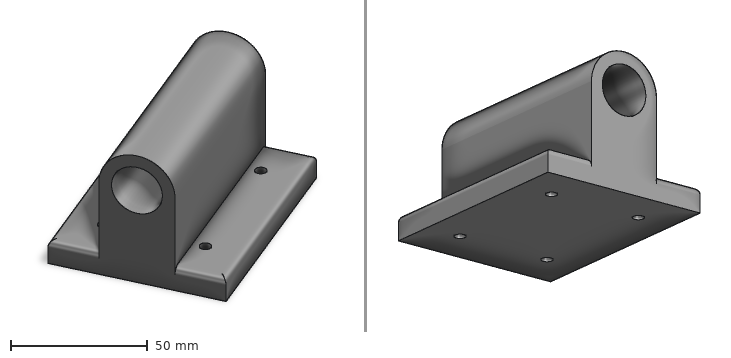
import cadquery as cq

length = 90.0
base_width = 70.0
base_height = 10.0
base_edge_radius = 3.0

overall_height = 55.0
web_width = 30.0
web_radius = web_width / 2
bore_diameter = 20.0
bore_height = overall_height - web_radius

hole_diameter = 4.5
hole_spacing_x = 40.0
hole_spacing_y = 55.0


def make_base():
    """Rectangular plate with rounded top edges and four through holes."""
    plate = cq.Workplane("XY").box(base_width, length, base_height, centered=(True, True, False))
    return (
        plate.faces(">Z").edges().fillet(base_edge_radius)
        .faces(">Z").workplane()
        .rarray(hole_spacing_x, hole_spacing_y, 2, 2)
        .hole(hole_diameter)
    )


def make_web():
    """Full-length upright with a half-round top."""
    return (
        cq.Workplane("XZ")
        .moveTo(-web_radius, 0)
        .lineTo(web_radius, 0)
        .lineTo(web_radius, bore_height)
        .threePointArc((0, overall_height), (-web_radius, bore_height))
        .close()
        .extrude(length / 2, both=True)
    )


def make_bore():
    """Cylinder removed along the whole length of the web."""
    return (
        cq.Workplane("XZ")
        .center(0, bore_height)
        .circle(bore_diameter / 2)
        .extrude(length / 2, both=True)
    )


result = make_base().union(make_web()).cut(make_bore())